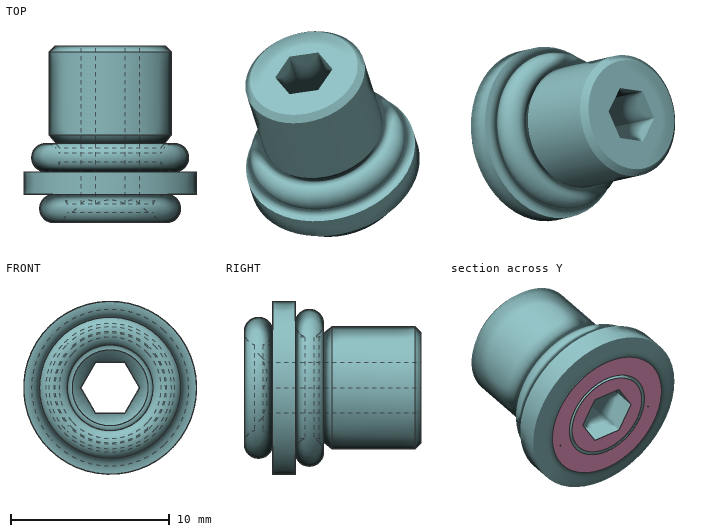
import cadquery as cq
import math

total_length = 11.15
ring_thickness = 1.78
ring_radius = ring_thickness / 2
front_ring_diameter = 8.9
rear_ring_diameter = 9.9
flange_diameter = 10.92
flange_thickness = 1.43
shank_diameter = 7.72
end_chamfer = 0.38
shank_start = 5.53
shoulder_slope = 0.8
ring_seating = 0.05

spigot_face = 0.65
countersink_diameter = 4.78
countersink_half_angle = 45.0
hex_across_flats = 3.2

front_y = -total_length / 2
spigot_y = front_y + spigot_face
flange_front = front_y + ring_thickness
flange_rear = flange_front + flange_thickness
shank_y = front_y + shank_start
rear_y = front_y + total_length
spigot_radius = front_ring_diameter / 2 - ring_thickness + ring_seating
neck_radius = rear_ring_diameter / 2 - ring_thickness + ring_seating
shank_radius = shank_diameter / 2
flange_radius = flange_diameter / 2
shoulder_y = shank_y - (shank_radius - neck_radius) / shoulder_slope


def revolve_profile(points):
    """Turn a closed (radius, y) outline around the Y axis."""
    outline = cq.Workplane("XY").polyline(points).close()
    return outline.revolve(360, (0, 0, 0), (0, 1, 0))


def sealing_ring(outer_diameter, center_y):
    """Round-section ring centred on the Y axis."""
    section = cq.Workplane("XY", origin=(0, center_y, 0))
    section = section.moveTo(ring_radius - outer_diameter / 2, 0).circle(ring_radius)
    return section.revolve(360, (0, 0, 0), (0, 1, 0))


body = revolve_profile([
    (0, spigot_y),
    (spigot_radius, spigot_y),
    (spigot_radius, flange_front),
    (flange_radius, flange_front),
    (flange_radius, flange_rear),
    (neck_radius, flange_rear),
    (neck_radius, shoulder_y),
    (shank_radius, shank_y),
    (shank_radius, rear_y - end_chamfer),
    (shank_radius - end_chamfer, rear_y),
    (0, rear_y),
])

front_ring = sealing_ring(front_ring_diameter, flange_front - ring_radius)
rear_ring = sealing_ring(rear_ring_diameter, flange_rear + ring_radius)

hex_across_corners = hex_across_flats / math.cos(math.pi / 6)
hex_socket = (
    cq.Workplane("XZ", origin=(0, rear_y, 0))
    .polygon(6, hex_across_corners)
    .extrude(total_length)
)

countersink_radius = countersink_diameter / 2
countersink_depth = countersink_radius / math.tan(math.radians(countersink_half_angle))
countersink = revolve_profile([
    (0, spigot_y),
    (countersink_radius, spigot_y),
    (0, spigot_y + countersink_depth),
])

result = body.union(front_ring).union(rear_ring).cut(hex_socket).cut(countersink)